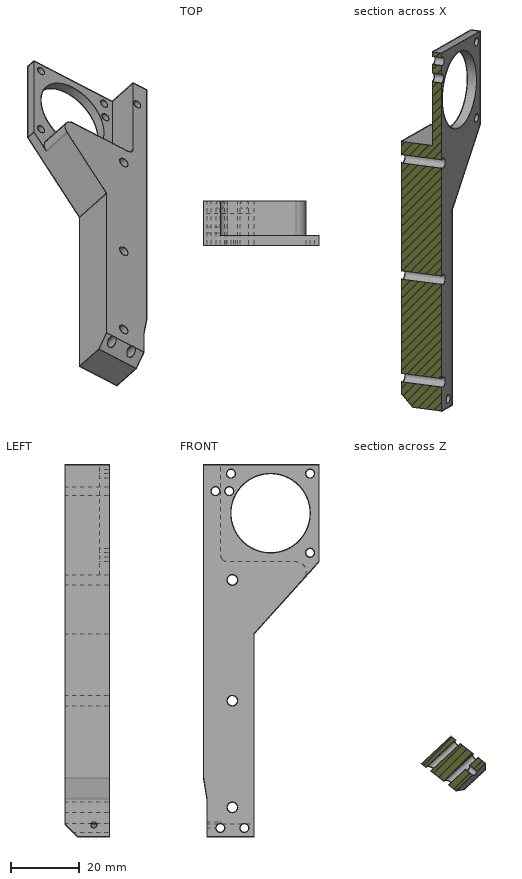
import cadquery as cq

width = 33.6
depth = 13.0
height = 108.2

plate_thickness = 3.0
pilot_diameter = 23.0
screw_spacing = 23.0
screw_edge_margin = 2.6
pilot_x = width - screw_edge_margin - screw_spacing / 2
pilot_z = height - screw_edge_margin - screw_spacing / 2
plate_corner_z = pilot_z - screw_spacing / 2 - screw_edge_margin

arm_width = 14.7
slope_bottom_z = 59.0
foot_inset = 1.0
taper_bottom_z = 11.0
taper_top_z = 17.1
foot_chamfer = 3.7

side_wall = 5.0
pocket_corner_radius = 2.0
shelf_end_radius = 3.0

small_hole_diameter = 2.5
mount_hole_diameter = 3.0
mount_hole_x = 8.4
mount_hole_heights = (8.6, 39.6, 74.7)
foot_hole_spacing = 7.0
foot_hole_z = 2.6
pair_hole_spacing = 4.0
pair_hole_x = 3.5
pair_hole_z = 100.5

set_screw_diameter = 1.75
set_screw_y = 4.6
set_screw_z = 3.5


def extrude_along_y(sketch, length):
    """Extrude an XZ sketch from the front face toward +Y."""
    return sketch.extrude(-length)


def make_profile(top_edge, length):
    """Bar with the common arm outline, closed by top_edge between the slope and the side wall."""
    outline = [
        (0, taper_top_z),
        (foot_inset, taper_bottom_z),
        (foot_inset, 0),
        (arm_width, 0),
        (arm_width, slope_bottom_z),
        (width, plate_corner_z),
    ]
    sketch = cq.Workplane("XZ").polyline(outline + top_edge + [(0, height)]).close()
    return extrude_along_y(sketch, length)


def make_plate():
    """Thin front plate with the full outline."""
    return make_profile([(width, height)], plate_thickness)


def make_body():
    """Full-depth arm, side wall and shelf, with rounded pocket corner and shelf end."""
    body = make_profile([(side_wall, plate_corner_z), (side_wall, height)], depth)
    shelf_end = cq.NearestToPointSelector((width, depth / 2, plate_corner_z))
    pocket_corner = cq.NearestToPointSelector((side_wall, depth / 2, plate_corner_z))
    body = body.edges("|Y").edges(shelf_end).fillet(shelf_end_radius)
    body = body.edges("|Y").edges(pocket_corner).fillet(pocket_corner_radius)
    return body.faces("<Z").edges(">Y").chamfer(foot_chamfer)


def holes_along_y(points, diameter):
    """Through-hole cutters at the given (x, z) points."""
    return extrude_along_y(cq.Workplane("XZ").pushPoints(points).circle(diameter / 2), depth)


def make_set_screw_hole(end_x):
    """Cutter from x = 0 to the given x."""
    return (
        cq.Workplane("YZ")
        .center(set_screw_y, set_screw_z)
        .circle(set_screw_diameter / 2)
        .extrude(end_x)
    )


half_square = screw_spacing / 2
plate_screw_points = [
    (pilot_x - half_square, pilot_z + half_square),
    (pilot_x + half_square, pilot_z + half_square),
    (pilot_x + half_square, pilot_z - half_square),
]
pair_points = [(pair_hole_x + i * pair_hole_spacing, pair_hole_z) for i in range(2)]
foot_hole_xs = [mount_hole_x + side * foot_hole_spacing / 2 for side in (-1, 1)]
foot_points = [(x, foot_hole_z) for x in foot_hole_xs]
mount_points = [(mount_hole_x, z) for z in mount_hole_heights]

result = make_plate().union(make_body())
result = result.cut(holes_along_y([(pilot_x, pilot_z)], pilot_diameter))
result = result.cut(holes_along_y(plate_screw_points + pair_points + foot_points, small_hole_diameter))
result = result.cut(holes_along_y(mount_points, mount_hole_diameter))
result = result.cut(make_set_screw_hole(foot_hole_xs[0]))